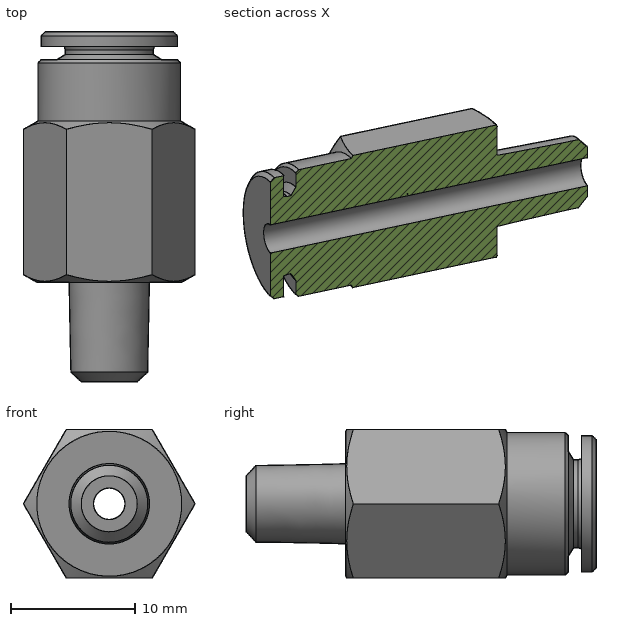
import cadquery as cq
import math

length = 28.22
hex_across_flats = 12.0
hex_corner_radius = hex_across_flats / math.sqrt(3)
bore_diameter = 2.5

stud_length = 8.01
stud_root_radius = 3.25
stud_end_radius = 3.1
stud_chamfer_length = 0.8
stud_tip_radius = 2.25

hex_length = 13.0
hex_chamfer_angle = 30.0
hex_stud_face_radius = 5.85

body_radius = 5.75
body_chamfer = 0.25
body_length = 4.95

seat_radius = 4.23
seat_height = 0.42
neck_radius = 3.55
neck_flare_radius = 3.65
neck_flare_length = 0.25
flange_radius = 5.5
flange_thickness = 1.2
flange_chamfer = 0.35

stud_end = -length / 2
hex_start = stud_end + stud_length
hex_end = hex_start + hex_length
body_end = hex_end + body_length
flange_end = length / 2
flange_start = flange_end - flange_thickness


def revolve_about_y(points):
    """Revolve a closed (radius, y) outline about the Y axis."""
    return cq.Workplane("XY").polyline(points).close().revolve(360, (0, 0), (0, 1))


def make_stud():
    return revolve_about_y([
        (0, stud_end),
        (stud_tip_radius, stud_end),
        (stud_end_radius, stud_end + stud_chamfer_length),
        (stud_root_radius, hex_start),
        (0, hex_start),
    ])


def make_hexagon():
    slope = math.tan(math.radians(hex_chamfer_angle))
    stud_side_chamfer = (hex_corner_radius - hex_stud_face_radius) * slope
    body_side_chamfer = (hex_corner_radius - body_radius) * slope
    prism = (
        cq.Workplane("XZ", origin=(0, hex_start, 0))
        .polygon(6, 2 * hex_corner_radius)
        .extrude(-hex_length)
    )
    envelope = revolve_about_y([
        (0, hex_start),
        (hex_stud_face_radius, hex_start),
        (hex_corner_radius, hex_start + stud_side_chamfer),
        (hex_corner_radius, hex_end - body_side_chamfer),
        (body_radius, hex_end),
        (0, hex_end),
    ])
    return prism.intersect(envelope)


def make_body_and_collar():
    return revolve_about_y([
        (0, hex_end),
        (body_radius, hex_end),
        (body_radius, body_end - body_chamfer),
        (body_radius - body_chamfer, body_end),
        (seat_radius, body_end),
        (neck_radius, body_end + seat_height),
        (neck_radius, flange_start - neck_flare_length),
        (neck_flare_radius, flange_start),
        (flange_radius, flange_start),
        (flange_radius, flange_end - flange_chamfer),
        (flange_radius - flange_chamfer, flange_end),
        (0, flange_end),
    ])


bore = cq.Workplane("XZ", origin=(0, stud_end, 0)).circle(bore_diameter / 2).extrude(-length)

result = make_stud().union(make_hexagon()).union(make_body_and_collar()).cut(bore)